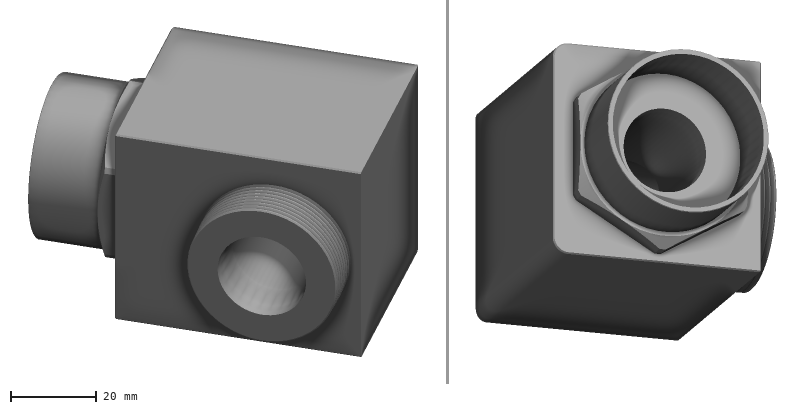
import cadquery as cq
import math


overall_length = 83.1
block_size = 51.6
block_length = 60.2
outlet_to_far_side = 21.1
corner_radius = 3.8
edge_chamfer = 0.3

half_block = block_size / 2
far_x = outlet_to_far_side
inlet_face_x = far_x - block_length
outlet_face_y = -half_block

joint_corner_y = -24.9
joint_step_start_x = inlet_face_x - joint_corner_y
joint_step_end_x = far_x - half_block

inlet_end_x = far_x - overall_length
sleeve_diameter = 39.9
sleeve_inner_diameter = 37.5
sleeve_rim_chamfer = 0.2
hex_across_flats = 41.9
hex_corner_diameter = 47.5
hex_length = 5.6
hex_chamfer_angle = 30.0
hex_face_x = inlet_face_x - hex_length

spigot_length = 10.9
spigot_base_radius = 18.6
spigot_taper = 1 / 32
ridge_count = 8
ridge_flat = 0.25
groove_depth = 0.75
ridge_end_margin = 0.4
end_face_radius = 17.9
outlet_end_y = outlet_face_y - spigot_length

passage_diameter = 20.4
mouth_diameter = 21.6
mouth_depth = spigot_length


def x_cylinder(diameter, start_x, end_x):
    """Solid cylinder on the inlet axis between two X positions."""
    return cq.Workplane("YZ", origin=(start_x, 0, 0)).circle(diameter / 2).extrude(end_x - start_x)


def make_block():
    """Whole elbow block before it is split into its two halves."""
    block = cq.Workplane("XY").box(block_length, block_size, block_size)
    block = block.translate((far_x - block_length / 2, 0, 0))
    block = block.edges("(>Y and >Z) or (>Y and <Z) or (>X and >Y)").fillet(corner_radius)
    inlet_edges = block.faces("<X").edges()
    outlet_edges = block.faces("<Y").edges("not >X")
    return block.newObject(inlet_edges.vals() + outlet_edges.vals()).chamfer(edge_chamfer)


def make_inlet_side():
    """Prism covering everything on the inlet side of the joint."""
    beyond = block_size
    outline = [
        (inlet_face_x - beyond, joint_corner_y - beyond),
        (joint_step_start_x, 0),
        (joint_step_end_x, 0),
        (far_x + beyond, half_block + beyond),
        (inlet_face_x - beyond, half_block + beyond),
    ]
    return cq.Workplane("XY").polyline(outline).close().extrude(block_size, both=True)


def make_hexagon():
    corner_to_corner = hex_across_flats / math.cos(math.pi / 6)
    hexagon = (
        cq.Workplane("YZ", origin=(hex_face_x, 0, 0))
        .transformed(rotate=(0, 0, 90))
        .polygon(6, corner_to_corner)
        .extrude(hex_length)
    )
    flat_radius = hex_across_flats / 2
    turned_radius = hex_corner_diameter / 2
    chamfer_length = (turned_radius - flat_radius) * math.tan(math.radians(hex_chamfer_angle))
    blank_profile = [
        (hex_face_x, 0),
        (hex_face_x, flat_radius),
        (hex_face_x + chamfer_length, turned_radius),
        (inlet_face_x, turned_radius),
        (inlet_face_x, 0),
    ]
    blank = cq.Workplane("XY").polyline(blank_profile).close().revolve(360, (0, 0, 0), (1, 0, 0))
    return hexagon.intersect(blank)


def make_sleeve():
    sleeve = x_cylinder(sleeve_diameter, inlet_end_x, inlet_face_x)
    return sleeve.faces("<X").edges().chamfer(sleeve_rim_chamfer)


def make_spigot():
    """Revolved spigot with V grooves between narrow ridges that follow the taper."""
    pitch = (spigot_length - ridge_end_margin) / ridge_count

    def ridge_radius(distance):
        return spigot_base_radius - spigot_taper * distance

    profile = [(0, outlet_face_y), (ridge_radius(0), outlet_face_y)]
    for ridge in range(1, ridge_count + 1):
        middle = ridge * pitch
        groove = middle - pitch / 2
        profile.append((ridge_radius(groove) - groove_depth, outlet_face_y - groove))
        for side in (middle - ridge_flat / 2, middle + ridge_flat / 2):
            profile.append((ridge_radius(side), outlet_face_y - side))
    profile += [(end_face_radius, outlet_end_y), (0, outlet_end_y)]
    return cq.Workplane("XY").polyline(profile).close().revolve(360, (0, 0, 0), (0, 1, 0))


def make_passage():
    """Mitred passage from inlet to outlet with a tapered outlet mouth."""
    path = cq.Workplane("XY").polyline([(inlet_end_x, 0), (0, 0), (0, outlet_end_y)])
    passage = (
        cq.Workplane("YZ", origin=(inlet_end_x, 0, 0))
        .circle(passage_diameter / 2)
        .sweep(path, transition="right")
    )
    mouth_profile = [
        (0, outlet_end_y),
        (mouth_diameter / 2, outlet_end_y),
        (passage_diameter / 2, outlet_end_y + mouth_depth),
        (0, outlet_end_y + mouth_depth),
    ]
    mouth = cq.Workplane("XY").polyline(mouth_profile).close().revolve(360, (0, 0, 0), (0, 1, 0))
    return passage.union(mouth)


def make_inlet_half(block, inlet_side, passage):
    """Body with the hexagon collar and the sleeve."""
    half = block.intersect(inlet_side).union(make_hexagon()).union(make_sleeve())
    sleeve_bore = x_cylinder(sleeve_inner_diameter, inlet_end_x, hex_face_x)
    return half.cut(sleeve_bore).cut(passage)


def make_outlet_half(block, inlet_side, passage):
    """Body with the ringed spigot."""
    return block.cut(inlet_side).union(make_spigot()).cut(passage)


block = make_block()
inlet_side = make_inlet_side()
passage = make_passage()
inlet_half = make_inlet_half(block, inlet_side, passage)
outlet_half = make_outlet_half(block, inlet_side, passage)

result = cq.Compound.makeCompound([inlet_half.val(), outlet_half.val()])